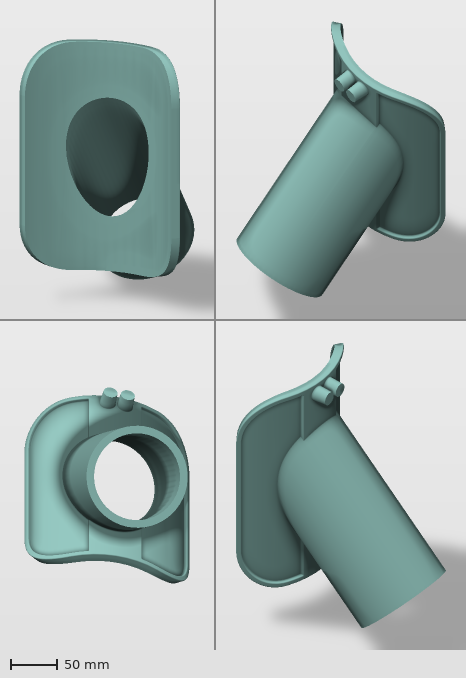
import math
import cadquery as cq

inner_radius = 100.0
thickness = 10.0
outer_radius = inner_radius + thickness
saddle_height = 255.0
half_angle = math.radians(55.8)
corner_radius = 55.0
outer_edge_fillet = 1.0

rim_width = 5.7
recess_depth = 4.0
floor_radius = outer_radius - recess_depth
land_half_width = 29.0
recess_fillet = 1.0

pipe_diameter = 110.0
bore_diameter = 93.5
pipe_length = 168.5
pipe_angle = math.radians(45.0)
pipe_root = 2.0

boss_spacing = 19.0
boss_end_diameter = 15.4
boss_base_diameter = 17.4
boss_end_y = 126.0
boss_from_top = 13.0
boss_base_fillet = 0.7

overlap = 20.0


def curved_plate(r_inner, r_outer, side_inset, height, corner):
    """Ring segment between two radii, with sides set in from the radial end planes and rounded corners."""
    reach = 2 * r_outer
    ring = cq.Workplane("XY").circle(r_outer).circle(r_inner).extrude(height / 2, both=True)
    half_space = cq.Workplane("XY").box(reach, reach, height).translate((reach / 2, 0, 0))
    block = (
        cq.Workplane("XY")
        .box(reach, reach, height)
        .edges("|Y and >X")
        .fillet(corner)
        .translate((-reach / 2 - side_inset, reach / 2, 0))
        .rotate((0, 0, 0), (0, 0, 1), -math.degrees(half_angle))
    )
    half = ring.intersect(block).intersect(half_space)
    return half.union(half.mirror("YZ")).clean()


def saddle():
    """Plain plate with its outer rim edge rounded."""
    plate = curved_plate(inner_radius, outer_radius, 0, saddle_height, corner_radius)
    outer_face = plate.faces("%CYLINDER").faces(cq.selectors.NearestToPointSelector((0, outer_radius, 0)))
    return outer_face.edges().fillet(outer_edge_fillet)


def recesses():
    """Cutting body for the two recesses, one on each side of the land."""
    pocket = curved_plate(
        floor_radius,
        outer_radius + overlap,
        rim_width,
        saddle_height - 2 * rim_width,
        corner_radius - rim_width,
    )
    land = cq.Workplane("XY").box(2 * land_half_width, 4 * outer_radius, 2 * saddle_height)
    return pocket.cut(land)


def along_branch(diameter, start, end):
    """Cylinder on the branch axis between two distances from the centre of the saddle's inner face."""
    direction = cq.Vector(0, math.cos(pipe_angle), -math.sin(pipe_angle))
    origin = cq.Vector(0, inner_radius, 0) + direction * start
    return cq.Workplane(cq.Solid.makeCylinder(diameter / 2, end - start, origin, direction))


def boss(x):
    """Tapered boss along +Y, rooted inside the plate."""
    z = saddle_height / 2 - boss_from_top
    root_y = floor_radius
    taper = (boss_base_diameter - boss_end_diameter) / (boss_end_y - outer_radius)
    root_diameter = boss_base_diameter + taper * (outer_radius - root_y)
    return cq.Workplane(
        cq.Solid.makeCone(
            root_diameter / 2,
            boss_end_diameter / 2,
            boss_end_y - root_y,
            cq.Vector(x, root_y, z),
            cq.Vector(0, 1, 0),
        )
    )


def with_bosses(body):
    """Add the two bosses and round the edges where they meet the land."""
    for side in (-1, 1):
        body = body.union(boss(side * boss_spacing / 2))
    x_limit = boss_spacing / 2 + boss_base_diameter / 2 + boss_base_fillet
    z_centre = saddle_height / 2 - boss_from_top
    z_reach = boss_base_diameter / 2 + boss_base_fillet
    base_zone = cq.selectors.BoxSelector(
        (-x_limit, floor_radius, z_centre - z_reach),
        (x_limit, outer_radius + boss_base_fillet, z_centre + z_reach),
        boundingbox=True,
    )
    return body.edges(base_zone).fillet(boss_base_fillet)


def branch_pipe():
    """Solid pipe, trimmed within the plate so that none of it reaches the inner face."""
    pipe = along_branch(pipe_diameter, -pipe_diameter, pipe_length)
    inside = cq.Workplane("XY").circle(floor_radius - pipe_root).extrude(saddle_height, both=True)
    return pipe.cut(inside)


def with_recess_fillets(body):
    """Round the edges of the recesses, floors included, and the foot of the branch pipe."""
    x_limit = outer_radius * math.sin(half_angle) - rim_width / 2 * math.cos(half_angle)
    z_limit = (saddle_height - rim_width) / 2
    y_near = outer_radius * math.cos(half_angle)
    y_far = outer_radius + recess_fillet
    recess_zone = cq.selectors.BoxSelector(
        (-x_limit, y_near, -z_limit),
        (x_limit, y_far, z_limit),
        boundingbox=True,
    )
    return body.edges(recess_zone).fillet(recess_fillet)


plate = saddle().cut(recesses())
body = with_bosses(with_recess_fillets(plate.union(branch_pipe())))
result = body.cut(along_branch(bore_diameter, -pipe_diameter, pipe_length + overlap)).solids()